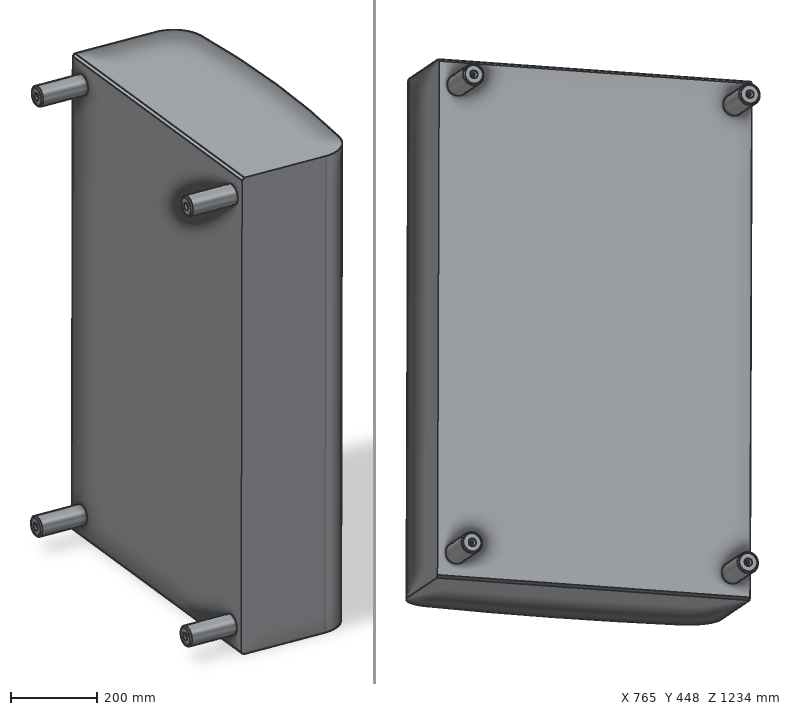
import cadquery as cq
import math

TOTAL_WIDTH = 765.0
TOTAL_DEPTH = 448.0
TOTAL_HEIGHT = 1234.0

LEAN_ANGLE = 0.2
LEAN_COS = math.cos(math.radians(LEAN_ANGLE))
LEAN_SIN = math.sin(math.radians(LEAN_ANGLE))
LEAN_SCALE = LEAN_COS**2 - LEAN_SIN**2

HOUSING_WIDTH = (TOTAL_WIDTH * LEAN_COS - TOTAL_HEIGHT * LEAN_SIN) / LEAN_SCALE
HOUSING_HEIGHT = (TOTAL_HEIGHT * LEAN_COS - TOTAL_WIDTH * LEAN_SIN) / LEAN_SCALE
CROWN_RADIUS = 2715.0
CORNER_RADIUS = 80.0
EDGE_CHAMFER = 6.0

LEG_LENGTH = 125.0
LEG_DIAMETER = 50.0
LEG_SPACING_X = 671.0
LEG_SPACING_Z = 1110.0
LEG_CHAMFER = 4.0
COUNTERSINK_DIAMETER = 19.0
COUNTERSINK_ANGLE = 90.0
BORE_DIAMETER = 7.9
BORE_DEPTH = 25.0

HOUSING_DEPTH = TOTAL_DEPTH - LEG_LENGTH


def make_housing():
    """Block with a crowned back, its leg face lying on Y = 0."""
    half_width = HOUSING_WIDTH / 2
    crown_rise = CROWN_RADIUS - math.sqrt(CROWN_RADIUS**2 - half_width**2)
    shoulder = HOUSING_DEPTH - crown_rise
    block = (
        cq.Workplane("XY")
        .moveTo(-half_width, 0)
        .lineTo(half_width, 0)
        .lineTo(half_width, shoulder)
        .threePointArc((0, HOUSING_DEPTH), (-half_width, shoulder))
        .close()
        .extrude(HOUSING_HEIGHT / 2, both=True)
    )
    block = block.edges("|Z").edges(">Y").fillet(CORNER_RADIUS)
    return block.faces("<Y").edges("|X").chamfer(EDGE_CHAMFER)


def make_leg(x, z):
    """Round leg pointing to -Y, with a countersunk hole in its free end."""
    leg = cq.Workplane("XZ").circle(LEG_DIAMETER / 2).extrude(LEG_LENGTH)
    leg = leg.faces("<Y").chamfer(LEG_CHAMFER)
    free_end = leg.faces("<Y").workplane()
    leg = free_end.cskHole(BORE_DIAMETER, COUNTERSINK_DIAMETER, COUNTERSINK_ANGLE, BORE_DEPTH)
    return leg.translate((x, 0, z))


def lean(body):
    """Turn a body about the Y axis by the lean angle."""
    return body.rotate((0, 0, 0), (0, 1, 0), LEAN_ANGLE)


housing = lean(make_housing())

legs = []
for x_side in (-1, 1):
    for z_side in (-1, 1):
        leg = make_leg(x_side * LEG_SPACING_X / 2, z_side * LEG_SPACING_Z / 2)
        legs.append(lean(leg))

result = cq.Compound.makeCompound([housing.val(), *[leg.val() for leg in legs]])